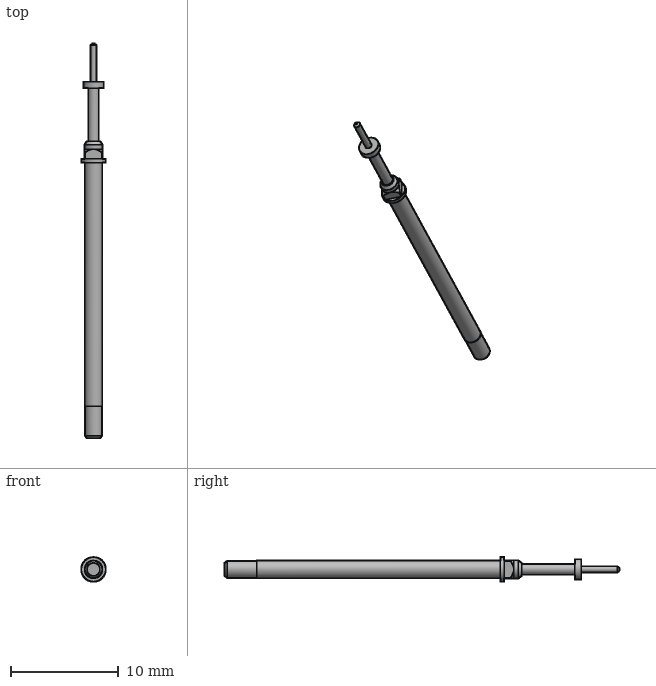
import cadquery as cq

OVERALL_LENGTH = 36.6

BODY_DIAMETER = 1.65
BODY_LENGTH = 25.55
TAIL_DIAMETER = 1.6
TAIL_LENGTH = 3.0
TAIL_CHAMFER_LENGTH = 0.25
TAIL_CHAMFER_WIDTH = 0.2

FLANGE_DIAMETER = 2.3
FLANGE_THICKNESS = 0.35
NECK_LENGTH = 1.65
SQUARE_WIDTH = 1.7
SHOULDER_LENGTH = 0.75
SHOULDER_CHAMFER_LENGTH = 0.33
SHOULDER_CHAMFER_WIDTH = 0.25

PLUNGER_DIAMETER = 1.0
COLLAR_DIAMETER = 1.9
COLLAR_THICKNESS = 0.6
TIP_DIAMETER = 0.6
TIP_LENGTH = 3.55
TIP_CHAMFER = 0.2

NECK_START = FLANGE_THICKNESS
NECK_END = NECK_START + NECK_LENGTH
TIP_END = OVERALL_LENGTH - BODY_LENGTH
COLLAR_END = TIP_END - TIP_LENGTH
COLLAR_START = COLLAR_END - COLLAR_THICKNESS


def cylinder(diameter, start, end):
    """Round bar on the Y axis between two stations."""
    bar = cq.Workplane("XZ", origin=(0, start, 0)).circle(diameter / 2)
    return bar.extrude(start - end)


def revolved(profile):
    """Solid of revolution about Y from (radius, y) points."""
    return cq.Workplane("XY").polyline(profile).close().revolve(360, (0, 0, 0), (0, 1, 0))


def make_body():
    """Rear body with a slightly slimmer, chamfered tail."""
    tail_start = -BODY_LENGTH
    tail_end = tail_start + TAIL_LENGTH
    tail_radius = TAIL_DIAMETER / 2
    tail = revolved([
        (0, tail_start),
        (tail_radius - TAIL_CHAMFER_WIDTH, tail_start),
        (tail_radius, tail_start + TAIL_CHAMFER_LENGTH),
        (tail_radius, tail_end),
        (0, tail_end),
    ])
    return cylinder(BODY_DIAMETER, tail_end, 0).union(tail)


def make_neck():
    """Square neck trimmed to the flange diameter, with a round shoulder as wide as its flats."""
    shoulder_radius = SQUARE_WIDTH / 2
    corner_radius = FLANGE_DIAMETER / 2
    shoulder_start = NECK_END - SHOULDER_LENGTH
    cone_start = shoulder_start - (corner_radius - shoulder_radius)
    envelope = revolved([
        (0, NECK_START),
        (corner_radius, NECK_START),
        (corner_radius, cone_start),
        (shoulder_radius, shoulder_start),
        (shoulder_radius, NECK_END - SHOULDER_CHAMFER_LENGTH),
        (shoulder_radius - SHOULDER_CHAMFER_WIDTH, NECK_END),
        (0, NECK_END),
    ])
    square_center = (0, (NECK_START + NECK_END) / 2, 0)
    square = cq.Workplane("XY", origin=square_center).box(SQUARE_WIDTH, NECK_LENGTH, SQUARE_WIDTH)
    return envelope.intersect(square)


def make_tip():
    """Slim contact tip with a chamfered end."""
    return cylinder(TIP_DIAMETER, COLLAR_END, TIP_END).faces(">Y").chamfer(TIP_CHAMFER)


flange = cylinder(FLANGE_DIAMETER, 0, FLANGE_THICKNESS)
plunger = cylinder(PLUNGER_DIAMETER, NECK_END, COLLAR_START)
collar = cylinder(COLLAR_DIAMETER, COLLAR_START, COLLAR_END)

result = make_body()
for section in (flange, make_neck(), plunger, collar, make_tip()):
    result = result.union(section)